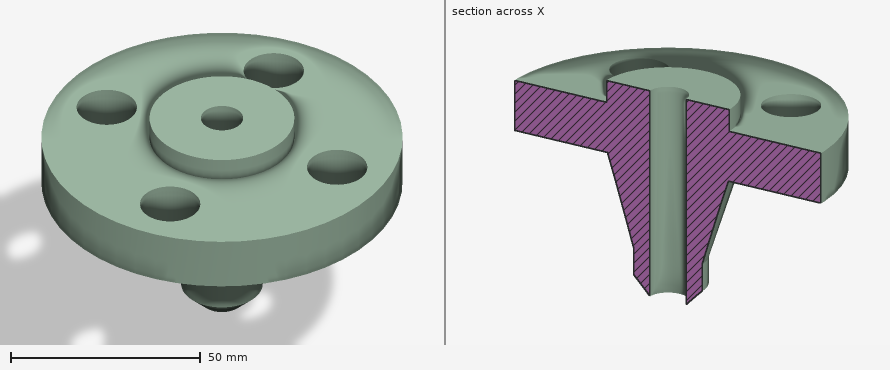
import cadquery as cq

flange_diameter = 95.25
flange_thickness = 14.4

face_diameter = 38.2
face_height = 6.2

hub_diameter = 37.7
hub_height = 25.2
neck_diameter = 21.5
neck_height = 7.7
tip_height = 5.1
tip_diameter = neck_diameter - 2 * tip_height

bore_diameter = 11.1
bolt_hole_diameter = 15.9
bolt_circle_diameter = 66.6
bolt_count = 4
first_bolt_angle = 45.0

neck_bottom = tip_height
hub_bottom = neck_bottom + neck_height
flange_bottom = hub_bottom + hub_height
flange_top = flange_bottom + flange_thickness
face_top = flange_top + face_height


def revolved_body():
    """Solid body of revolution about the Z axis."""
    return (
        cq.Workplane("XZ")
        .moveTo(0, 0)
        .lineTo(tip_diameter / 2, 0)
        .lineTo(neck_diameter / 2, neck_bottom)
        .lineTo(neck_diameter / 2, hub_bottom)
        .lineTo(hub_diameter / 2, flange_bottom)
        .lineTo(flange_diameter / 2, flange_bottom)
        .lineTo(flange_diameter / 2, flange_top)
        .lineTo(face_diameter / 2, flange_top)
        .lineTo(face_diameter / 2, face_top)
        .lineTo(0, face_top)
        .close()
        .revolve(360, (0, 0, 0), (0, 1, 0))
    )


def bore():
    """Central bore through the full height."""
    return cq.Workplane("XY").circle(bore_diameter / 2).extrude(face_top)


def bolt_holes():
    """Bolt holes through the flange, evenly spaced on the bolt circle."""
    return (
        cq.Workplane("XY")
        .workplane(offset=flange_bottom)
        .polarArray(bolt_circle_diameter / 2, first_bolt_angle, 360, bolt_count)
        .circle(bolt_hole_diameter / 2)
        .extrude(flange_thickness)
    )


result = revolved_body().cut(bore()).cut(bolt_holes())